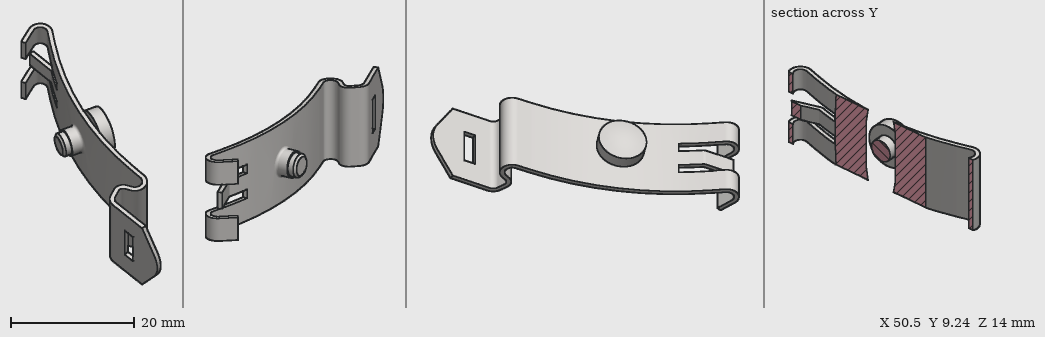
import cadquery as cq
import math

THICKNESS = 0.8
STRIP_WIDTH = 14.0
ARC_HALF_SPAN = 14.9
ARC_ANGLE = 16.5
ARC_RADIUS = ARC_HALF_SPAN / math.sin(math.radians(ARC_ANGLE))
SHOULDER_LENGTH = 2.5
BEND_RADIUS = 1.6
TIGHT_BEND_RADIUS = 1.2

HOOK_HEADING = 309.0
RETURN_HEADING = -135.0
DROP_HEADING = -48.0
TAB_HEADING = 17.9

HOOK_LENGTH = 3.05
RETURN_LENGTH = 1.0
DROP_LENGTH = 1.35

SLOT_END_X = -9.85
SLOT_SPAN = 5.95
TONGUE_WIDTH = 2.9
TONGUE_KINK_X = -13.8
TONGUE_KINK_ANGLE = 33.0
TONGUE_LENGTH = 5.1
KINK_RADIUS = 0.55 * THICKNESS

TAB_LENGTH = 10.4
TAB_NOSE_RADIUS = 4.9
TAB_TAPER_LENGTH = 3.6
TAB_NOSE_LENGTH = 0.75
TAB_NOSE_HALF_WIDTH = math.sqrt(TAB_NOSE_RADIUS**2 - (TAB_NOSE_RADIUS - TAB_NOSE_LENGTH) ** 2)
WINDOW_START = 2.7
WINDOW_LENGTH = 1.95
WINDOW_HEIGHT = SLOT_SPAN

SHANK_RADIUS = 2.0
SHANK_END_Y = -3.9
SHANK_CHAMFER = 0.4
HEAD_RADIUS = 3.95
HEAD_BASE_Y = 2.2
HEAD_RIM_Y = 4.4
HEAD_TOP_Y = 5.15
COLLAR_RADIUS = 2.25
COLLAR_END_Y = -2.5
COLLAR_ROOT_FILLET = 0.4


def step(x, y, angle, distance):
    """Point reached from (x, y) by moving a distance at an angle in degrees."""
    a = math.radians(angle)
    return x + distance * math.cos(a), y + distance * math.sin(a)


def end_line(x, y, heading):
    """Line across the strip thickness, square to its heading."""
    half = THICKNESS / 2
    return cq.Edge.makeLine(
        cq.Vector(*step(x, y, heading + 90, half)),
        cq.Vector(*step(x, y, heading - 90, half)),
    )


def trace(start, heading, legs):
    """Follow straight legs (length, 0) and bends (radius, turn); positive turns go left.

    Returns the outline edges of the strip and the final point and heading.
    """
    half = THICKNESS / 2
    x, y = start
    edges = [end_line(x, y, heading)]
    for size, turn in legs:
        old_x, old_y, old_heading = x, y, heading
        if turn == 0:
            x, y = step(x, y, heading, size)
        else:
            side = math.copysign(90, turn)
            center = step(x, y, heading + side, size)
            heading += turn
            x, y = step(*center, heading - side, size)
        for offset in (half, -half):
            begin = cq.Vector(*step(old_x, old_y, old_heading + 90, offset))
            end = cq.Vector(*step(x, y, heading + 90, offset))
            if turn == 0:
                edges.append(cq.Edge.makeLine(begin, end))
            else:
                radius = size - math.copysign(1, turn) * offset
                middle = step(*center, old_heading - side + turn / 2, radius)
                edges.append(cq.Edge.makeThreePointArc(begin, cq.Vector(*middle), end))
    edges.append(end_line(x, y, heading))
    return edges, (x, y), heading


def make_band(edges, width):
    """Extrude a closed strip outline symmetrically about Z = 0."""
    wire = cq.Wire.combine(edges)[0]
    solid = cq.Solid.extrudeLinear(wire, [], cq.Vector(0, 0, width))
    return cq.Workplane(obj=solid.translate(cq.Vector(0, 0, -width / 2)))


def make_tab(start, heading):
    """Flat pointed tab with its rectangular window."""
    x_dir = (*step(0, 0, heading, 1), 0)
    normal = (*step(0, 0, heading - 90, 1), 0)
    plane = cq.Plane(origin=(*start, 0), xDir=x_dir, normal=normal)
    shoulder = TAB_LENGTH - TAB_TAPER_LENGTH
    nose_start = TAB_LENGTH - TAB_NOSE_LENGTH
    outline = (
        cq.Workplane(plane)
        .moveTo(0, -STRIP_WIDTH / 2)
        .lineTo(shoulder, -STRIP_WIDTH / 2)
        .lineTo(nose_start, -TAB_NOSE_HALF_WIDTH)
        .threePointArc((TAB_LENGTH, 0), (nose_start, TAB_NOSE_HALF_WIDTH))
        .lineTo(shoulder, STRIP_WIDTH / 2)
        .lineTo(0, STRIP_WIDTH / 2)
        .close()
    )
    window = (
        cq.Workplane(plane)
        .center(WINDOW_START + WINDOW_LENGTH / 2, 0)
        .rect(WINDOW_LENGTH, WINDOW_HEIGHT)
        .extrude(THICKNESS, both=True)
    )
    return outline.extrude(THICKNESS / 2, both=True).cut(window)


def slope_at(x):
    """Heading of the central arc at a given X, degrees."""
    return math.degrees(math.asin(x / ARC_RADIUS))


def arc_point(x):
    """Mid-thickness point of the central arc at a given X."""
    return x, ARC_RADIUS - math.sqrt(ARC_RADIUS**2 - x**2)


def make_clip_end():
    """The central arc, then through the S bend to the tab."""
    edges, end, heading = trace(
        arc_point(-ARC_HALF_SPAN),
        -ARC_ANGLE,
        [
            (ARC_RADIUS, 2 * ARC_ANGLE),
            (SHOULDER_LENGTH, 0),
            (BEND_RADIUS, RETURN_HEADING - ARC_ANGLE),
            (RETURN_LENGTH, 0),
            (TIGHT_BEND_RADIUS, DROP_HEADING - RETURN_HEADING),
            (DROP_LENGTH, 0),
            (BEND_RADIUS, TAB_HEADING - DROP_HEADING),
        ],
    )
    return make_band(edges, STRIP_WIDTH).union(make_tab(end, heading))


def make_hook_end():
    """From the end of the central arc round the hook."""
    edges, _, _ = trace(
        arc_point(-ARC_HALF_SPAN),
        180 - ARC_ANGLE,
        [
            (SHOULDER_LENGTH, 0),
            (BEND_RADIUS, HOOK_HEADING - (180 - ARC_ANGLE)),
            (HOOK_LENGTH, 0),
        ],
    )
    return make_band(edges, STRIP_WIDTH)


def make_tongue():
    """Tongue that follows the central arc, then kinks away from the hook."""
    root_x = SLOT_END_X + TONGUE_WIDTH / 2
    kink_arc = slope_at(root_x) - slope_at(TONGUE_KINK_X)
    edges, _, _ = trace(
        arc_point(root_x),
        180 + slope_at(root_x),
        [(ARC_RADIUS, -kink_arc), (KINK_RADIUS, TONGUE_KINK_ANGLE), (TONGUE_LENGTH, 0)],
    )
    return make_band(edges, TONGUE_WIDTH)


def y_cylinder(radius, y_start, y_end):
    """Cylinder on the Y axis."""
    return cq.Workplane("XZ", origin=(0, y_end, 0)).circle(radius).extrude(y_end - y_start)


def make_strip():
    """Whole spring strip with its collar and rivet hole."""
    slot = cq.Workplane().box(STRIP_WIDTH, STRIP_WIDTH, SLOT_SPAN)
    slot = slot.translate((SLOT_END_X - STRIP_WIDTH / 2, 0, 0))
    strip = make_clip_end().union(make_hook_end()).cut(slot).union(make_tongue())
    strip = strip.union(y_cylinder(COLLAR_RADIUS, COLLAR_END_Y, 0)).clean()
    root = cq.selectors.BoxSelector(
        (-COLLAR_RADIUS, -THICKNESS, -COLLAR_RADIUS),
        (COLLAR_RADIUS, 0, COLLAR_RADIUS),
        boundingbox=False,
    )
    strip = strip.edges(root).fillet(COLLAR_ROOT_FILLET)
    return strip.cut(y_cylinder(SHANK_RADIUS, COLLAR_END_Y, THICKNESS))


def make_rivet():
    """Domed rivet turned about the Y axis."""
    dome_rise = HEAD_TOP_Y - HEAD_RIM_Y
    dome_radius = (HEAD_RADIUS**2 + dome_rise**2) / (2 * dome_rise)
    middle_x = HEAD_RADIUS / 2
    middle_y = HEAD_TOP_Y - dome_radius + math.sqrt(dome_radius**2 - middle_x**2)
    return (
        cq.Workplane()
        .moveTo(0, SHANK_END_Y)
        .lineTo(SHANK_RADIUS - SHANK_CHAMFER, SHANK_END_Y)
        .lineTo(SHANK_RADIUS, SHANK_END_Y + SHANK_CHAMFER)
        .lineTo(SHANK_RADIUS, HEAD_BASE_Y)
        .lineTo(HEAD_RADIUS, HEAD_BASE_Y)
        .lineTo(HEAD_RADIUS, HEAD_RIM_Y)
        .threePointArc((middle_x, middle_y), (0, HEAD_TOP_Y))
        .close()
        .revolve(360, (0, 0), (0, 1))
    )


strip = make_strip()
rivet = make_rivet()

result = cq.Compound.makeCompound([strip.val(), rivet.val()])